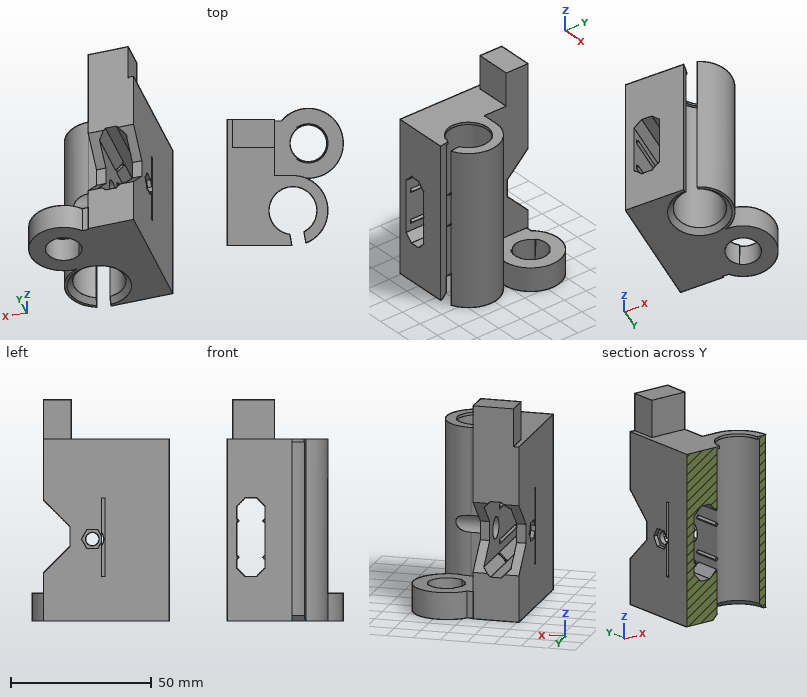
import cadquery as cq

BLOCK_WIDTH = 17.0
BLOCK_DEPTH = 45.0
BLOCK_HEIGHT = 65.0

LUG_WIDTH = 15.0
LUG_DEPTH = 10.0
LUG_HEIGHT = 14.0

CLIP_OUTER_RADIUS = 12.5
CLIP_BORE_RADIUS = 9.5
CLIP_LIP_RADIUS = 8.5
CLIP_LIP_HEIGHT = 1.0
CLIP_X = 23.5
CLIP_Y = CLIP_OUTER_RADIUS
SHOULDER_START_X = 7.0
CLIP_GAP = 5.0
CLIP_GAP_ANGLE = 10.0
CLIP_FLARE_RADIUS = 11.5
CLIP_FLARE_HEIGHT = 2.0

RING_OUTER_RADIUS = 12.5
RING_BORE_RADIUS = 6.5
RING_BORE_TOP_RADIUS = 7.0
RING_X = 29.0
RING_Y = 36.5
RING_HEIGHT = 10.0
WEB_END_X = 25.0
WEB_END_Y = 44.5

CHANNEL_WIDTH = 10.0
CHANNEL_HEIGHT = 28.0
CHANNEL_CHAMFER = 3.0
CHANNEL_X = BLOCK_WIDTH / 2
CHANNEL_Z = 30.0

RIB_HEIGHT = 0.8
RIB_SPACING = 13.0
RIB_CENTER_Z = 29.3
RIB_START_Y = 2.0

SLOT_START_Y = 23.0
SLOT_WIDTH = 1.2

NOTCH_DEPTH = 9.5
NOTCH_FLOOR = 7.0
NOTCH_MOUTH = 26.0
NOTCH_Z = 30.25

SCREW_Y = 27.5
SCREW_Z = 29.3
SCREW_HOLE_DIAMETER = 4.7
NUT_DIAMETER = 7.8
NUT_DEPTH = 1.5
SCREW_HEAD_DIAMETER = 8.0


def box(x_range, y_range, z_range):
    """Axis-aligned box given by its start and end along each axis."""
    corner = (x_range[0], y_range[0], z_range[0])
    size = [end - start for start, end in (x_range, y_range, z_range)]
    return cq.Workplane("XY").box(*size, centered=False).translate(corner)


def cylinder(x, y, radius, height):
    """Upright cylinder standing on z = 0."""
    return cq.Workplane("XY").center(x, y).circle(radius).extrude(height)


def cone(x, y, bottom_radius, top_radius, height):
    """Upright truncated cone standing on z = 0."""
    return cq.Workplane("XY").add(
        cq.Solid.makeCone(bottom_radius, top_radius, height, cq.Vector(x, y, 0))
    )


def screw_plane(x):
    """Plane across the screw axis, facing +X."""
    return cq.Workplane("YZ", origin=(x, SCREW_Y, SCREW_Z))


def block_with_lug():
    block = box((0, BLOCK_WIDTH), (0, BLOCK_DEPTH), (0, BLOCK_HEIGHT))
    lug = box(
        (BLOCK_WIDTH - LUG_WIDTH, BLOCK_WIDTH),
        (BLOCK_DEPTH - LUG_DEPTH, BLOCK_DEPTH),
        (BLOCK_HEIGHT, BLOCK_HEIGHT + LUG_HEIGHT),
    )
    return block.union(lug)


def clip_body():
    shoulder = box((SHOULDER_START_X, CLIP_X), (0, CLIP_Y + CLIP_OUTER_RADIUS), (0, BLOCK_HEIGHT))
    return shoulder.union(cylinder(CLIP_X, CLIP_Y, CLIP_OUTER_RADIUS, BLOCK_HEIGHT))


def clip_opening():
    """Bore with a narrow lip at the top and a flared bottom end, and the slanted gap that opens it."""
    lip = cylinder(CLIP_X, CLIP_Y, CLIP_LIP_RADIUS, BLOCK_HEIGHT)
    bore = cylinder(CLIP_X, CLIP_Y, CLIP_BORE_RADIUS, BLOCK_HEIGHT - CLIP_LIP_HEIGHT)
    flare = cone(CLIP_X, CLIP_Y, CLIP_FLARE_RADIUS, CLIP_BORE_RADIUS, CLIP_FLARE_HEIGHT)
    gap_length = 2 * CLIP_OUTER_RADIUS
    gap = (
        box((-CLIP_GAP / 2, CLIP_GAP / 2), (-gap_length, 0), (0, BLOCK_HEIGHT))
        .rotate((0, 0, 0), (0, 0, 1), CLIP_GAP_ANGLE)
        .translate((CLIP_X, CLIP_Y, 0))
    )
    return lip.union(bore).union(flare).union(gap)


def foot_ring():
    """Ring with a tapered bore; the web closes in on the bore's straight cylinder."""
    taper = cone(RING_X, RING_Y, RING_BORE_RADIUS, RING_BORE_TOP_RADIUS, RING_HEIGHT)
    ring = cylinder(RING_X, RING_Y, RING_OUTER_RADIUS, RING_HEIGHT).cut(taper)
    web = box((BLOCK_WIDTH, WEB_END_X), (CLIP_Y, WEB_END_Y), (0, RING_HEIGHT))
    return ring.union(web).cut(cylinder(RING_X, RING_Y, RING_BORE_RADIUS, RING_HEIGHT))


def channel():
    return (
        box(
            (CHANNEL_X - CHANNEL_WIDTH / 2, CHANNEL_X + CHANNEL_WIDTH / 2),
            (0, BLOCK_DEPTH),
            (CHANNEL_Z - CHANNEL_HEIGHT / 2, CHANNEL_Z + CHANNEL_HEIGHT / 2),
        )
        .edges("|Y")
        .chamfer(CHANNEL_CHAMFER)
    )


def channel_ribs():
    """Square bars half sunk in the channel walls, ending at the slot."""
    length = SLOT_START_Y - RIB_START_Y
    centers = [
        (CHANNEL_X + side * CHANNEL_WIDTH / 2, RIB_CENTER_Z + level * RIB_SPACING / 2)
        for side in (-1, 1)
        for level in (-1, 1)
    ]
    return (
        cq.Workplane("XZ", origin=(0, RIB_START_Y, 0))
        .pushPoints(centers)
        .polygon(4, 2 * RIB_HEIGHT)
        .extrude(-length)
    )


def side_slot():
    """Slot that crosses the channel and ends at its right wall."""
    return box(
        (0, CHANNEL_X + CHANNEL_WIDTH / 2),
        (SLOT_START_Y, SLOT_START_Y + SLOT_WIDTH),
        (CHANNEL_Z - CHANNEL_HEIGHT / 2, CHANNEL_Z + CHANNEL_HEIGHT / 2),
    )


def far_notch():
    floor_y = BLOCK_DEPTH - NOTCH_DEPTH
    profile = [
        (BLOCK_DEPTH, NOTCH_Z - NOTCH_MOUTH / 2),
        (floor_y, NOTCH_Z - NOTCH_FLOOR / 2),
        (floor_y, NOTCH_Z + NOTCH_FLOOR / 2),
        (BLOCK_DEPTH, NOTCH_Z + NOTCH_MOUTH / 2),
    ]
    return cq.Workplane("YZ").polyline(profile).close().extrude(BLOCK_WIDTH)


def screw_cut():
    """Nut pocket on the left face, clearance hole, and head bore beyond the channel."""
    nut = screw_plane(0).polygon(6, NUT_DIAMETER).extrude(NUT_DEPTH)
    hole = screw_plane(0).circle(SCREW_HOLE_DIAMETER / 2).extrude(CHANNEL_X)
    head_length = CLIP_X + CLIP_OUTER_RADIUS - CHANNEL_X
    head = screw_plane(CHANNEL_X).circle(SCREW_HEAD_DIAMETER / 2).extrude(head_length)
    return nut.union(hole).union(head)


result = (
    block_with_lug()
    .union(clip_body())
    .union(foot_ring())
    .cut(clip_opening())
    .cut(channel())
    .union(channel_ribs())
    .cut(side_slot())
    .cut(far_notch())
    .cut(screw_cut())
)